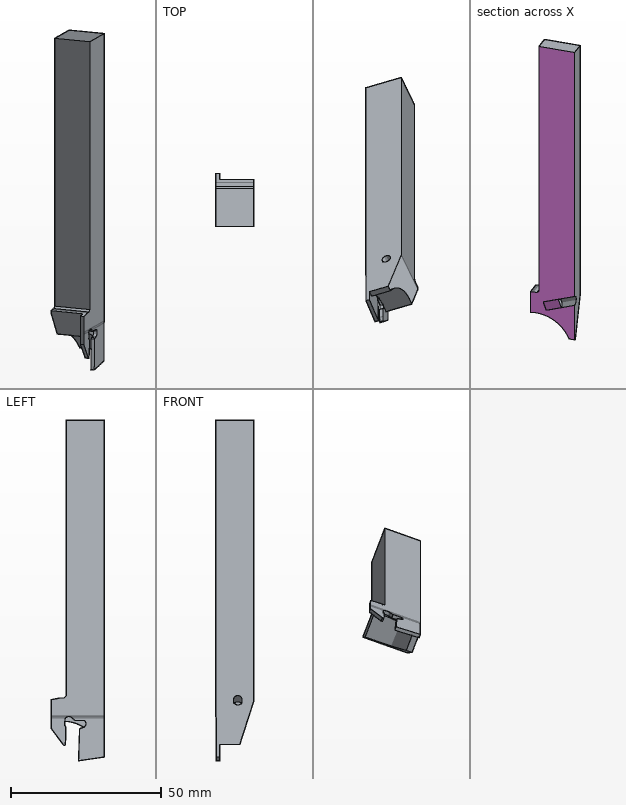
import cadquery as cq
import math

length = 113.3
shank_side = 12.7

head_depth = 17.7
thick_depth = 15.7
blade_thickness = 1.4
thick_bottom = 5.4
shelf_corner_z = 21.6
shelf_chamfer = 0.7
shelf_flat_end = 14.7
shelf_end_z = 20.4
shelf_z = shelf_corner_z - shelf_chamfer

bevel_top = 19.8
bevel_foot_x = 8.0

clearance_radius = 12.5
clearance_y = 13.6
clearance_z = 0.7

relief_depth = 0.1
relief_top = 15.0
relief_bottom = 14.3

hole_radius = 1.5
hole_x = 7.4
hole_z = 20.2
hole_tilt = 20.0
screw_recess = 5.5
screw_length = 5.7


def plate(profile, thickness):
    """Extrude a closed YZ wire from X = 0 towards +X."""
    return profile.close().extrude(thickness)


def make_blade():
    """Thin blade with two jaws around the insert seat."""
    profile = (
        cq.Workplane("YZ")
        .moveTo(0, 1.2)
        .lineTo(8.6, 0)
        .lineTo(8.3, 10.5)
        .lineTo(7.9, 10.9)
        .lineTo(7.3, 11.1)
        .threePointArc((6.1, 12.3), (6.7, 13.5))
        .lineTo(9.7, 13.5)
        .lineTo(10.7, 14.2)
        .threePointArc((11.7, 14.7), (13.1, 13.8))
        .lineTo(13.1, 11.8)
        .lineTo(12.8, 11.3)
        .lineTo(12.8, 7.1)
        .lineTo(13.0, 5.1)
        .lineTo(13.5, 5.1)
        .lineTo(head_depth, 10.8)
        .lineTo(head_depth, shelf_end_z)
        .lineTo(shelf_flat_end, shelf_z)
        .lineTo(0, shelf_z)
    )
    return plate(profile, blade_thickness)


def make_bar():
    """Square shank and full-width head, bevelled and cleared underneath."""
    slope = (shelf_z - shelf_end_z) / (head_depth - shelf_flat_end)
    thick_end_z = shelf_z - slope * (thick_depth - shelf_flat_end)
    profile = (
        cq.Workplane("YZ")
        .moveTo(0, thick_bottom)
        .lineTo(thick_depth, thick_bottom)
        .lineTo(thick_depth, thick_end_z)
        .lineTo(shelf_flat_end, shelf_z)
        .lineTo(shank_side + shelf_chamfer, shelf_z)
        .lineTo(shank_side, shelf_corner_z)
        .lineTo(shank_side, length)
        .lineTo(0, length)
    )
    bar = plate(profile, shank_side)
    bevel = (
        cq.Workplane("XZ")
        .moveTo(shank_side, bevel_top)
        .lineTo(bevel_foot_x, thick_bottom)
        .lineTo(shank_side, thick_bottom)
        .close()
        .extrude(-head_depth)
    )
    clearance = (
        cq.Workplane("YZ")
        .center(clearance_y, clearance_z)
        .circle(clearance_radius)
        .extrude(shank_side)
    )
    blade_space = cq.Workplane().box(blade_thickness, head_depth, shelf_z, centered=False)
    return bar.cut(bevel).cut(clearance).cut(blade_space)


def make_relief():
    """Wedge-topped slab that thins the lower blade."""
    return (
        cq.Workplane("XZ")
        .moveTo(0, 0)
        .lineTo(relief_depth, 0)
        .lineTo(relief_depth, relief_bottom)
        .lineTo(0, relief_top)
        .close()
        .extrude(-head_depth)
    )


def make_screw_cylinder(start, end):
    """Cylinder on the tilted screw axis between two distances from the hole mouth."""
    tilt = math.radians(hole_tilt)
    direction = cq.Vector(0, math.cos(tilt), -math.sin(tilt))
    mouth = cq.Vector(hole_x, 0, hole_z)
    cylinder = cq.Solid.makeCylinder(hole_radius, end - start, mouth + direction * start, direction)
    return cq.Workplane(obj=cylinder)


screw_end = screw_recess + screw_length
screw = make_screw_cylinder(screw_recess, screw_end)
hole = make_screw_cylinder(-2 * hole_radius, screw_end)

holder = make_bar().union(make_blade()).cut(make_relief()).cut(hole)

result = cq.Compound.makeCompound([holder.val(), screw.val()])